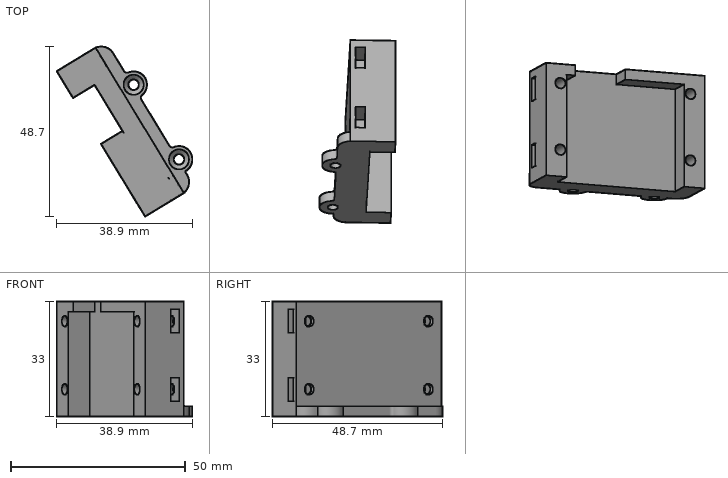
import cadquery as cq
import math

turn_angle = -58.7

length = 48.75
depth = 13.0
height = 33.0

pocket_depth = 7.2
end_post_width = 6.35
lip_height = 3.0
notch_start = 9.0
notch_end = 24.35

flange_height = 3.0
flange_edge = 16.5
flange_corner_radius = 4.0
root_fillet = 0.3

ear_radius = 3.85
ear_spacing = 25.0
first_ear_x = 14.75
ear_y = 16.8
neck_fillet = 0.97
ear_hole_diameter = 2.92
countersink_diameter = 5.75
countersink_angle = 90

cross_hole_diameter = 3.05
cross_hole_inset = 4.4
cross_hole_levels = (7.85, 27.35)
nut_slot_start = 8.7
nut_slot_end = 11.5
nut_slot_height = 6.75

ear_positions = [(first_ear_x, ear_y), (first_ear_x + ear_spacing, ear_y)]


def box(x_range, y_range, z_range):
    """Axis-aligned box between pairs of limits."""
    sizes = [limits[1] - limits[0] for limits in (x_range, y_range, z_range)]
    corner = (x_range[0], y_range[0], z_range[0])
    return cq.Workplane("XY").box(*sizes, centered=False).translate(corner)


def make_body():
    """Block with the front pocket and the notch in the lip above it."""
    pocket_top = height - lip_height
    block = box((0, length), (0, depth), (0, height))
    pocket = box((end_post_width, length - end_post_width), (0, pocket_depth), (0, pocket_top))
    notch = box((notch_start, notch_end), (0, pocket_depth), (pocket_top, height))
    return block.cut(pocket).cut(notch)


def make_neck(ear_x, side):
    """Concave web blending one side of an ear into the straight flange edge."""
    arc_y = flange_edge + neck_fillet
    reach = math.sqrt((ear_radius + neck_fillet) ** 2 - (arc_y - ear_y) ** 2)
    arc_x = ear_x + side * reach
    ear_share = ear_radius / (ear_radius + neck_fillet)
    touch_x = ear_x + side * reach * ear_share
    touch_y = ear_y + (arc_y - ear_y) * ear_share
    outline = [
        (ear_x, ear_y),
        (touch_x, touch_y),
        (arc_x, arc_y),
        (arc_x, flange_edge),
        (ear_x, flange_edge),
    ]
    web = (
        cq.Workplane("XY")
        .polyline(outline)
        .close()
        .extrude(flange_height)
    )
    relief = cq.Workplane("XY").center(arc_x, arc_y).circle(neck_fillet).extrude(flange_height)
    return web.cut(relief)


def make_flange():
    """Rounded base plate with two ears; the far side of the last ear has no blend."""
    plate = box((0, length), (0, flange_edge), (0, flange_height))
    plate = plate.edges("|Z and >Y").fillet(flange_corner_radius)
    plate = plate.intersect(box((0, length), (pocket_depth, flange_edge), (0, flange_height)))
    ears = cq.Workplane("XY").pushPoints(ear_positions).circle(ear_radius).extrude(flange_height)
    flange = plate.union(ears)
    first_x, last_x = [position[0] for position in ear_positions]
    for ear_x, side in ((first_x, -1), (first_x, 1), (last_x, -1)):
        flange = flange.union(make_neck(ear_x, side))
    return flange


def make_root_fillet():
    """Concave strip where the flange top meets the back face of the body."""
    return (
        cq.Workplane("YZ")
        .moveTo(depth, flange_height)
        .lineTo(depth + root_fillet, flange_height)
        .radiusArc((depth, flange_height + root_fillet), root_fillet)
        .close()
        .extrude(length)
    )


def drill_ears(part):
    """Countersunk holes through the flange ears."""
    return (
        part.copyWorkplane(cq.Workplane("XY", origin=(0, 0, flange_height)))
        .pushPoints(ear_positions)
        .cskHole(ear_hole_diameter, countersink_diameter, countersink_angle, depth=flange_height)
    )


def cut_cross_fastenings(part):
    """Front-to-back holes and the nut slots that cross them."""
    slot_length = cross_hole_inset + nut_slot_height / 2
    for level in cross_hole_levels:
        slot_z = (level - nut_slot_height / 2, level + nut_slot_height / 2)
        slot_y = (nut_slot_start, nut_slot_end)
        for slot_x in ((0, slot_length), (length - slot_length, length)):
            part = part.cut(box(slot_x, slot_y, slot_z))
        for hole_x in (cross_hole_inset, length - cross_hole_inset):
            hole = (
                cq.Workplane("XZ")
                .center(hole_x, level)
                .circle(cross_hole_diameter / 2)
                .extrude(-depth)
            )
            part = part.cut(hole)
    return part


part = make_body().union(make_flange()).union(make_root_fillet())
part = drill_ears(part)
part = cut_cross_fastenings(part)
result = part.rotate((0, 0, 0), (0, 0, 1), turn_angle)